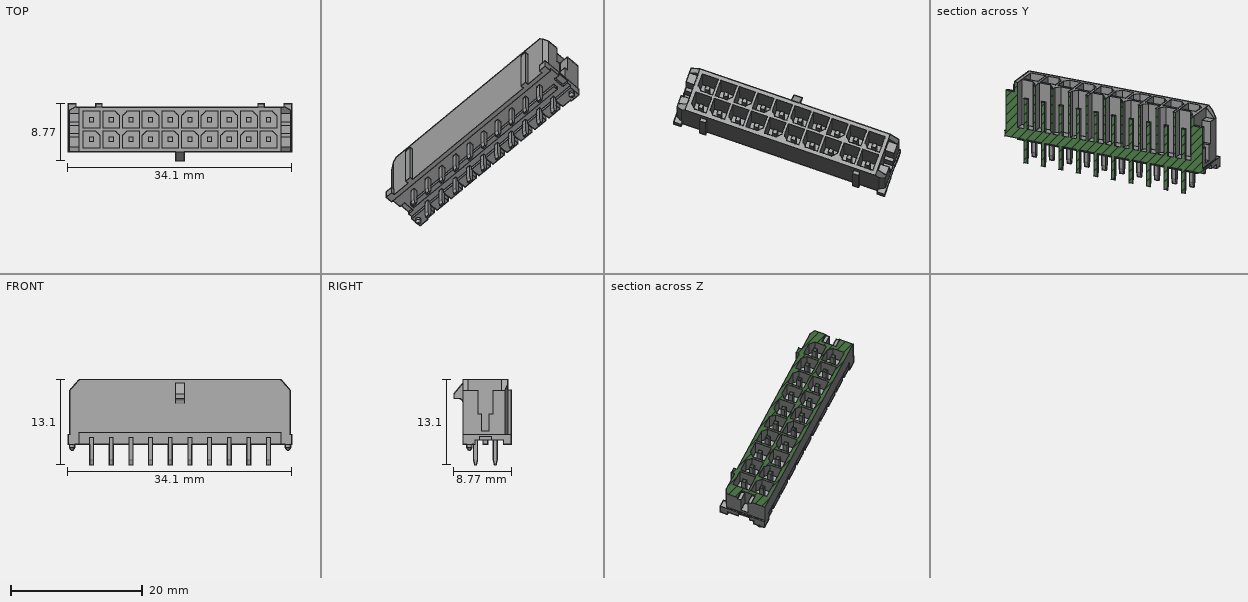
import cadquery as cq


columns = 10
pitch = 3.0
row_y = pitch / 2
pin_size = 0.64
pin_bottom = -3.18
pin_top = 7.4
tail_taper_length = 0.83
tail_tip_width = 0.26

body_length = 33.7
body_front = -3.43
body_back = 3.43
body_depth = body_back - body_front
body_mid_y = (body_front + body_back) / 2
housing_top = 9.91
bevel_start_z = 8.25
bevel_width = 1.44
back_corner_x = 0.85
back_corner_y = 0.45

base_length = 34.15
base_height = 1.54
back_reach = 3.95
back_tab_length = 1.22
back_rib_x = 12.38
back_rib_width = 1.0
back_rib_top = 8.34

core_half_length = body_length / 2 - bevel_width
relief_front = -2.65
relief_back = 2.45
keyway_width = 2.26
keyway_step_z = 4.67
keyway_narrow_width = 1.16
keyway_bottom = 2.07

channel_front = -1.6
channel_back = 2.75
channel_height = 0.65
end_notch_width = 1.86
end_notch_height = 0.56
end_notch_depth = 1.0
center_rib_width = 0.76
front_recess_depth = 0.2
front_recess_top = 1.85
pin_notch_width = 0.58
pin_notch_top = 1.03

cavity_size = 2.58
cavity_corner = 0.7
cavity_floor = 2.5
back_row_keys = "NRLRRLLRRR"
front_row_keys = "RRLLRRLLLR"

latch_width = 1.34
latch_reach = 1.39
latch_top = 9.38
latch_nose_top = 7.72
latch_nose_bottom = 7.0
latch_root_radius = 0.65

peg_diameter = 0.86
peg_x = 16.48
peg_y = -2.44
peg_straight = 0.5
peg_tip_length = 0.45
peg_tip_diameter = 0.2


def block(x_range, y_range, z_range):
    """Axis-aligned box between the given limits."""
    x0, x1 = x_range
    y0, y1 = y_range
    z0, z1 = z_range
    return cq.Workplane("XY").box(x1 - x0, y1 - y0, z1 - z0, centered=False).translate((x0, y0, z0))


def centered_block(mid_x, mid_y, size_x, size_y, z_range):
    """Box centred in X and Y between two heights."""
    return block(
        (mid_x - size_x / 2, mid_x + size_x / 2),
        (mid_y - size_y / 2, mid_y + size_y / 2),
        z_range,
    )


def both_ends(shape):
    """The shape together with its mirror image at the other end of the rows."""
    return shape.union(shape.mirror("YZ"))


def column_x(column):
    return (column - (columns - 1) / 2) * pitch


def make_body():
    """Long block with bevelled top ends and cut-off back corners."""
    half = body_length / 2
    body = (
        cq.Workplane("XZ")
        .polyline([
            (-half, 0),
            (half, 0),
            (half, bevel_start_z),
            (core_half_length, housing_top),
            (-core_half_length, housing_top),
            (-half, bevel_start_z),
        ])
        .close()
        .extrude(body_depth)
        .translate((0, body_back, 0))
    )
    corner = (
        cq.Workplane("XY")
        .polyline([
            (-half, body_back),
            (-half + back_corner_x, body_back),
            (-half, body_back - back_corner_y),
        ])
        .close()
        .extrude(housing_top)
    )
    return body.cut(both_ends(corner))


def make_base():
    """Flange under the body, with tabs behind it and two tall back ribs."""
    half = base_length / 2
    base = centered_block(0, body_mid_y, base_length, body_depth, (0, base_height))
    tab = block((-half, -half + back_tab_length), (0, back_reach), (0, base_height))
    rib = block(
        (-back_rib_x - back_rib_width / 2, -back_rib_x + back_rib_width / 2),
        (channel_back, back_reach),
        (0, back_rib_top),
    )
    return base.union(both_ends(tab)).union(both_ends(rib))


def make_end_reliefs():
    """Open top and stepped keyway in each end wall."""
    end_x = (-body_length / 2, -core_half_length)

    def keyway(width, z_range):
        return block(end_x, (-width / 2, width / 2), z_range)

    relief = (
        block(end_x, (relief_front, relief_back), (bevel_start_z, housing_top))
        .union(keyway(keyway_width, (keyway_step_z, housing_top)))
        .union(keyway(keyway_narrow_width, (keyway_bottom, housing_top)))
    )
    return both_ends(relief)


def make_underside_cut():
    """Channel along the underside, open at both ends, leaving a middle rib."""
    half = base_length / 2
    channel = block((-half, half), (channel_front, channel_back), (0, channel_height))
    rib = centered_block(0, 0, 2 * core_half_length, center_rib_width, (0, channel_height))
    end_notch = block(
        (-half, -half + end_notch_depth),
        (-end_notch_width / 2, end_notch_width / 2),
        (0, channel_height + end_notch_height),
    )
    return channel.cut(rib).union(both_ends(end_notch))


def make_front_cut():
    """Shallow recess low on the front wall, notched in front of every pin."""
    cut = block(
        (-core_half_length, core_half_length),
        (body_front, body_front + front_recess_depth),
        (0, front_recess_top),
    )
    for column in range(columns):
        notch = centered_block(
            column_x(column),
            (body_front - row_y) / 2,
            pin_notch_width,
            -row_y - body_front,
            (0, pin_notch_top),
        )
        cut = cut.union(notch)
    return cut


def make_cavity(x, y, key):
    """Square contact cavity with the keyed back corner filled."""
    cavity = centered_block(x, y, cavity_size, cavity_size, (cavity_floor, housing_top))
    if key == "R":
        return cavity.edges("|Z and >X and >Y").chamfer(cavity_corner)
    if key == "L":
        return cavity.edges("|Z and <X and >Y").chamfer(cavity_corner)
    return cavity


def make_pin(x, y):
    """Square pin whose tail narrows in Y to a blunt tip."""
    taper_top = pin_bottom + tail_taper_length
    side = pin_size / 2
    tip = tail_tip_width / 2
    return (
        cq.Workplane("YZ")
        .polyline([
            (-tip, pin_bottom),
            (tip, pin_bottom),
            (side, taper_top),
            (side, pin_top),
            (-side, pin_top),
            (-side, taper_top),
        ])
        .close()
        .extrude(pin_size / 2, both=True)
        .translate((x, y, 0))
    )


def make_latch():
    """Latch ramp with a flat nose and a rounded root underneath."""
    nose_y = body_front - latch_reach
    round_mid = latch_root_radius * (1 - 0.5 ** 0.5)
    root_z = latch_nose_bottom - latch_root_radius
    return (
        cq.Workplane("YZ")
        .moveTo(0, latch_top)
        .lineTo(body_front, latch_top)
        .lineTo(nose_y, latch_nose_top)
        .lineTo(nose_y, latch_nose_bottom)
        .lineTo(body_front - latch_root_radius, latch_nose_bottom)
        .threePointArc(
            (body_front - round_mid, latch_nose_bottom - round_mid),
            (body_front, root_z),
        )
        .lineTo(0, root_z)
        .close()
        .extrude(latch_width / 2, both=True)
    )


def make_peg():
    """Round locating peg with a conical tip."""
    radius = peg_diameter / 2
    tip_radius = peg_tip_diameter / 2
    tip_z = -peg_straight - peg_tip_length
    return (
        cq.Workplane("XZ")
        .polyline([
            (0, base_height),
            (radius, base_height),
            (radius, -peg_straight),
            (tip_radius, tip_z),
            (0, tip_z),
        ])
        .close()
        .revolve(360, (0, 0, 0), (0, 1, 0))
        .translate((-peg_x, peg_y, 0))
    )


housing = make_body().union(make_latch())
housing = housing.cut(make_end_reliefs()).union(make_base())
housing = housing.cut(make_underside_cut()).cut(make_front_cut())
housing = housing.union(both_ends(make_peg()))

for y, keys in ((row_y, back_row_keys), (-row_y, front_row_keys)):
    for column, key in enumerate(keys):
        housing = housing.cut(make_cavity(column_x(column), y, key))
        housing = housing.union(make_pin(column_x(column), y))

result = housing